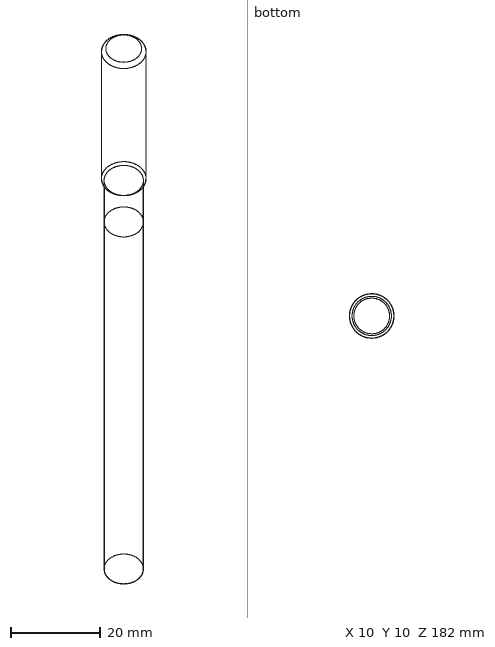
import cadquery as cq

total_length = 182.0
shank_diameter = 10.0
shank_length = 45.7
shoulder_taper = 0.6
cutting_length = 122.0
point_height = 1.6
top_chamfer = 1.0

shank_radius = shank_diameter / 2
cutting_radius = shank_radius - shoulder_taper
shoulder_z = total_length - shank_length


def revolve_profile(points):
    """Turn a closed (radius, z) outline around the Z axis."""
    return cq.Workplane("XZ").polyline(points).close().revolve(360, (0, 0), (0, 1))


def make_holder():
    """Chamfered shank with a tapered shoulder leading into a narrower neck."""
    return revolve_profile([
        (0, cutting_length),
        (cutting_radius, cutting_length),
        (cutting_radius, shoulder_z),
        (shank_radius, shoulder_z + shoulder_taper),
        (shank_radius, total_length - top_chamfer),
        (shank_radius - top_chamfer, total_length),
        (0, total_length),
    ])


def make_cutting_rod():
    """Round cutting section ending in a conical point."""
    return revolve_profile([
        (0, 0),
        (cutting_radius, point_height),
        (cutting_radius, cutting_length),
        (0, cutting_length),
    ])


holder = make_holder()
cutting_rod = make_cutting_rod()

result = cq.Compound.makeCompound([holder.val(), cutting_rod.val()])